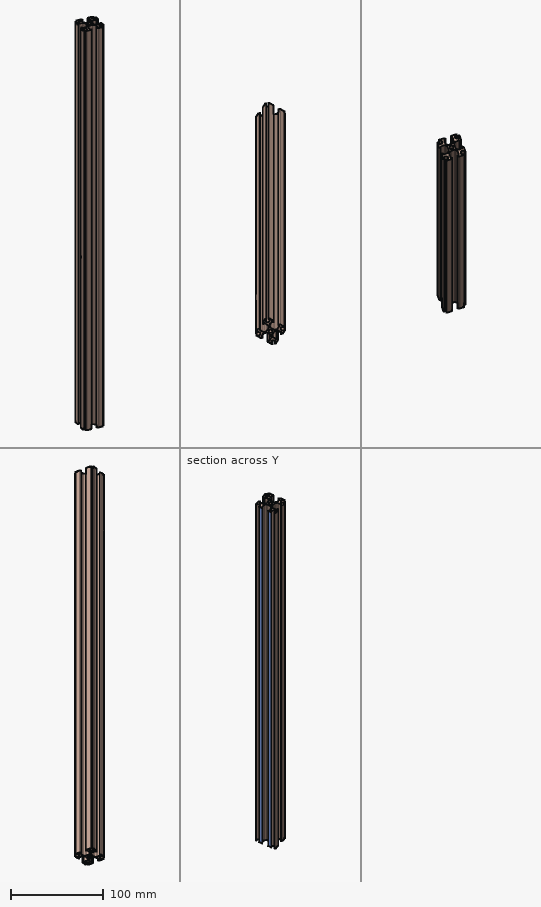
import cadquery as cq
import math

SIDE = 25.4
LENGTH = 500.0
HALF = SIDE / 2

MOUTH_HALF = 4.3
NECK_HALF = 2.9
CHAMBER_HALF = 4.8
LIP_BACK = 10.6
FLOOR = 3.7
MOUTH_RADIUS = 1.0
CHAMBER_RADIUS = 1.5
FLOOR_RADIUS = 1.65

WEB_THICKNESS = 1.7
WEB_OFFSET = WEB_THICKNESS / math.sqrt(2)

CHANNEL_CENTER = 9.58
CHANNEL_RADIUS = 2.1
CHANNEL_LIP_END = 10.33
CHANNEL_LIP_RADIUS = 0.7

CORE_HOLE_RADIUS = 2.05


def round_bar_edges(body, near, far, radius):
    """Round the lengthwise edges at (near, far), along with their mirrored copies on every side."""
    corners = [(near, far), (far, near)]
    edges = cq.Workplane("XY").newObject([])
    for x, y in corners:
        for x_sign in (-1, 1):
            for y_sign in (-1, 1):
                point = (x_sign * x, y_sign * y, LENGTH / 2)
                edges = edges.add(body.edges("|Z").edges(cq.NearestToPointSelector(point)))
    return body.newObject(edges.vals()).fillet(radius)


def corner_points(distance):
    """The four points at this distance from the bar axis along both X and Y."""
    return [(x * distance, y * distance) for x in (-1, 1) for y in (-1, 1)]


def slot_cutter():
    """The T-slot of the +Y side, with 45 degree lip bevels and web faces."""
    right_side = [
        (MOUTH_HALF, HALF),
        (NECK_HALF, HALF - (MOUTH_HALF - NECK_HALF)),
        (CHAMBER_HALF, LIP_BACK),
        (CHAMBER_HALF, CHAMBER_HALF + WEB_OFFSET),
        (FLOOR - WEB_OFFSET, FLOOR),
    ]
    left_side = [(-x, y) for x, y in reversed(right_side)]
    return cq.Workplane("XY").polyline(right_side + left_side).close().extrude(LENGTH)


def cut_slots(body):
    cutter = slot_cutter()
    for side in range(4):
        body = body.cut(cutter.rotate((0, 0, 0), (0, 0, 1), 90 * side))
    body = round_bar_edges(body, MOUTH_HALF, HALF, MOUTH_RADIUS)
    body = round_bar_edges(body, CHAMBER_HALF, CHAMBER_HALF + WEB_OFFSET, CHAMBER_RADIUS)
    return round_bar_edges(body, FLOOR - WEB_OFFSET, FLOOR, FLOOR_RADIUS)


def cut_corner_channels(body):
    opening = HALF - CHANNEL_LIP_END
    opening_centers = corner_points(HALF - opening / 2)
    body = body.cut(cq.Workplane("XY").pushPoints(opening_centers).rect(opening, opening).extrude(LENGTH))
    body = round_bar_edges(body, CHANNEL_LIP_END, HALF, CHANNEL_LIP_RADIUS)
    channel_centers = corner_points(CHANNEL_CENTER)
    return body.cut(cq.Workplane("XY").pushPoints(channel_centers).circle(CHANNEL_RADIUS).extrude(LENGTH))


def cut_core_hole(body):
    return body.cut(cq.Workplane("XY").circle(CORE_HOLE_RADIUS).extrude(LENGTH))


bar = cq.Workplane("XY").rect(SIDE, SIDE).extrude(LENGTH)
bar = cut_slots(bar)
bar = cut_corner_channels(bar)
result = cut_core_hole(bar).solids()